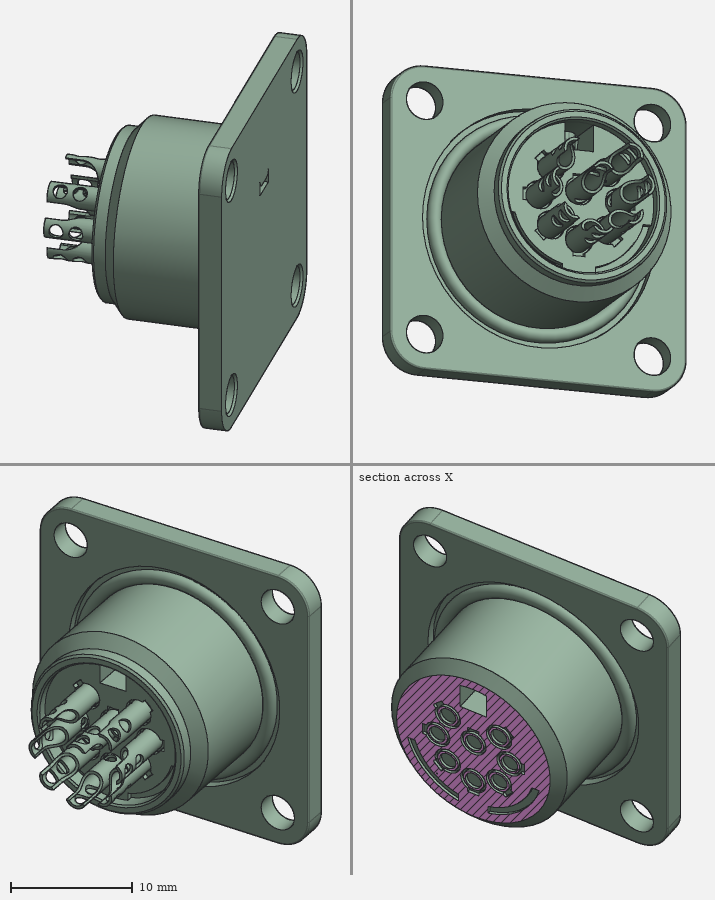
import cadquery as cq
import math


flange_side = 26.0
flange_thickness = 2.0
flange_corner_radius = 3.0
flange_edge_radius = 0.12
mount_hole_diameter = 3.2
mount_hole_spacing = 20.0
mount_hole_chamfer = 0.2

overall_length = 17.65
cup_length = 4.9
shell_end_x = cup_length - overall_length
shell_diameter = 17.0
collar_diameter = 14.8
collar_length = 1.2
collar_edge_chamfer = 0.2
shell_bevel_length = 1.0
shell_shoulder_x = shell_end_x + collar_length

groove_diameter = 20.4
groove_depth = 0.85
ring_section_radius = 0.6
ring_proud_height = 0.3
ring_squeeze = 0.02
ring_center_radius = shell_diameter / 2 + ring_section_radius - ring_squeeze
ring_center_x = -flange_thickness - ring_proud_height + ring_section_radius

recess_diameter = 13.1
recess_mouth_diameter = 13.42
recess_depth = 1.0
insert_face_x = shell_end_x + recess_depth

step_inner_radius = 5.9
step_depth = 0.5
step_top_z = -1.68
step_gap_width = 2.9

keyway_width = 2.5
keyway_bottom_z = 4.15
key_width = keyway_width
key_nose_width = 1.95
key_nose_corner_radius = 0.76
key_end_radius = 1.02
key_bottom_z = 4.86
key_corner_radius = 0.5
key_top_z = 7.0
key_nose_x = insert_face_x + 3.0

contact_diameter = 2.0
cup_bore_diameter = 1.5
cup_bore_depth = 6.5
cup_cut_offset = 0.43
cup_flat_length = 1.4
cup_scoop_radius = 1.6
solder_hole_diameter = 1.2
solder_hole_distances = (1.05, 2.75)
vent_hole_diameter = 1.0
vent_hole_distance = 5.5
seat_diameter = 2.4
seat_depth = 0.5
seat_tab_width = 1.05
seat_tab_reach = 1.42
contact_circle_radius = 3.5
outer_contact_angles = (0, 45, 135, 180, 225, 270, 315)
center_contact_height = 0.68


def x_cylinder(diameter, x_start, x_end):
    return cq.Workplane("YZ", origin=(x_start, 0, 0)).circle(diameter / 2).extrude(x_end - x_start)


def make_flange():
    flange = (
        cq.Workplane("YZ", origin=(-flange_thickness, 0, 0))
        .rect(flange_side, flange_side)
        .extrude(flange_thickness)
        .edges("|X")
        .fillet(flange_corner_radius)
        .faces("<X")
        .fillet(flange_edge_radius)
    )
    mount_holes = (
        cq.Workplane("YZ", origin=(-flange_thickness, 0, 0))
        .rect(mount_hole_spacing, mount_hole_spacing, forConstruction=True)
        .vertices()
        .circle(mount_hole_diameter / 2)
        .extrude(flange_thickness)
    )
    countersinks = (
        cq.Workplane("YZ")
        .rect(mount_hole_spacing, mount_hole_spacing, forConstruction=True)
        .vertices()
        .circle(mount_hole_diameter / 2 + mount_hole_chamfer)
        .extrude(-mount_hole_chamfer, taper=45)
    )
    groove = x_cylinder(groove_diameter, -flange_thickness, -flange_thickness + groove_depth)
    return flange.cut(mount_holes).cut(countersinks).cut(groove)


def make_shell():
    collar_radius = collar_diameter / 2
    shell_radius = shell_diameter / 2
    return (
        cq.Workplane("XY")
        .moveTo(0, 0)
        .lineTo(shell_end_x, 0)
        .lineTo(shell_end_x, collar_radius - collar_edge_chamfer)
        .lineTo(shell_end_x + collar_edge_chamfer, collar_radius)
        .lineTo(shell_shoulder_x, collar_radius)
        .lineTo(shell_shoulder_x + shell_bevel_length, shell_radius)
        .lineTo(0, shell_radius)
        .close()
        .revolve(360, (0, 0, 0), (1, 0, 0))
    )


def make_sealing_ring():
    return (
        cq.Workplane("XY")
        .center(ring_center_x, ring_center_radius)
        .circle(ring_section_radius)
        .revolve(360, (0, -ring_center_radius, 0), (1, -ring_center_radius, 0))
    )


def make_insert_recess():
    mouth_radius = recess_mouth_diameter / 2
    recess_radius = recess_diameter / 2
    return (
        cq.Workplane("XY")
        .moveTo(shell_end_x, 0)
        .lineTo(shell_end_x, mouth_radius)
        .lineTo(shell_end_x + mouth_radius - recess_radius, recess_radius)
        .lineTo(insert_face_x, recess_radius)
        .lineTo(insert_face_x, 0)
        .close()
        .revolve(360, (0, 0, 0), (1, 0, 0))
    )


def make_insert_step():
    step_end_x = insert_face_x + step_depth
    ring = x_cylinder(recess_diameter, insert_face_x, step_end_x).cut(
        x_cylinder(2 * step_inner_radius, insert_face_x, step_end_x)
    )
    above_step = (
        cq.Workplane("XY", origin=(insert_face_x, 0, step_top_z))
        .rect(2 * step_depth, recess_diameter)
        .extrude(recess_diameter)
    )
    gap = (
        cq.Workplane("XY", origin=(insert_face_x, 0, step_top_z))
        .rect(2 * step_depth, step_gap_width)
        .extrude(-recess_diameter)
    )
    return ring.cut(above_step).cut(gap)


def make_keyway():
    slot = (
        cq.Workplane("XY", origin=(0, 0, keyway_bottom_z))
        .rect(2 * abs(insert_face_x), keyway_width)
        .extrude(recess_diameter)
    )
    return slot.intersect(x_cylinder(recess_diameter, insert_face_x, 0))


def make_key_profile(start_x):
    """Side profile of the key from start_x to the flange front, with its lower end edge rounded."""
    bend = 1 - math.sqrt(0.5)
    return (
        cq.Workplane("XZ", origin=(0, key_width / 2, 0))
        .moveTo(start_x, key_top_z)
        .lineTo(start_x, key_bottom_z + key_end_radius)
        .threePointArc(
            (start_x + bend * key_end_radius, key_bottom_z + bend * key_end_radius),
            (start_x + key_end_radius, key_bottom_z),
        )
        .lineTo(0, key_bottom_z)
        .lineTo(0, key_top_z)
        .close()
        .extrude(key_width)
    )


def make_key_block(start_x, width):
    """Plain block from start_x to the flange front."""
    return (
        cq.Workplane("XY", origin=(start_x / 2, 0, key_bottom_z))
        .rect(-start_x, width)
        .extrude(key_top_z - key_bottom_z)
    )


def make_key():
    shoulder_x = key_nose_x + key_nose_corner_radius
    nose = make_key_block(key_nose_x, key_nose_width).edges("|Z and <X").fillet(key_nose_corner_radius)
    nose = nose.intersect(make_key_profile(key_nose_x))
    bar = make_key_block(shoulder_x, key_width).intersect(make_key_profile(shoulder_x))
    envelope = make_key_block(key_nose_x, key_width).edges("|X and <Z").fillet(key_corner_radius)
    return nose.union(bar).intersect(envelope)


def make_contact_seat():
    """Round pocket with an outward tab, around a contact on the X axis with +Y outward."""
    tab = (
        cq.Workplane("YZ", origin=(insert_face_x, seat_tab_reach / 2, 0))
        .rect(seat_tab_reach, seat_tab_width)
        .extrude(seat_depth)
    )
    return x_cylinder(seat_diameter, insert_face_x, insert_face_x + seat_depth).union(tab)


def make_wall_hole(diameter, distance, end_y):
    """Cross hole at a distance from the cup tip, from the contact axis out to end_y."""
    return (
        cq.Workplane("XZ", origin=(distance - overall_length, 0, 0))
        .circle(diameter / 2)
        .extrude(-end_y)
    )


def make_contact():
    """Solder cup on the X axis; +Y is the outward side, where the cup wall remains."""
    tip_x = -overall_length
    contact_radius = contact_diameter / 2
    scoop_start_x = tip_x + cup_flat_length
    scoop_drop = cup_cut_offset + contact_radius
    scoop_center_y = cup_cut_offset - cup_scoop_radius
    scoop_end_x = scoop_start_x + math.sqrt(cup_scoop_radius**2 - (cup_scoop_radius - scoop_drop) ** 2)
    arc_middle_x = scoop_start_x + cup_scoop_radius * math.sin(math.pi / 6)
    arc_middle_y = scoop_center_y + cup_scoop_radius * math.cos(math.pi / 6)
    scoop = (
        cq.Workplane("XY", origin=(0, 0, -contact_radius))
        .moveTo(tip_x, cup_cut_offset)
        .lineTo(scoop_start_x, cup_cut_offset)
        .threePointArc((arc_middle_x, arc_middle_y), (scoop_end_x, -contact_radius))
        .lineTo(tip_x, -contact_radius)
        .close()
        .extrude(contact_diameter)
    )
    bore = x_cylinder(cup_bore_diameter, tip_x, tip_x + cup_bore_depth)
    contact = x_cylinder(contact_diameter, tip_x, insert_face_x + seat_depth).cut(bore).cut(scoop)
    for distance in solder_hole_distances:
        contact = contact.cut(make_wall_hole(solder_hole_diameter, distance, contact_radius))
    return contact.cut(make_wall_hole(vent_hole_diameter, vent_hole_distance, -contact_radius))


def place_at_contacts(feature):
    """Copies of a feature at every contact, each turned so that its +Y side faces outward."""
    outward_feature = feature.translate((0, contact_circle_radius, 0))
    copies = [outward_feature.rotate((0, 0, 0), (1, 0, 0), angle) for angle in outer_contact_angles]
    center_copy = feature.rotate((0, 0, 0), (1, 0, 0), 90).translate((0, 0, center_contact_height))
    return copies + [center_copy]


result = make_flange().union(make_shell()).union(make_sealing_ring())
result = result.cut(make_insert_recess()).cut(make_insert_step()).cut(make_keyway()).union(make_key())
for seat in place_at_contacts(make_contact_seat()):
    result = result.cut(seat)
for contact in place_at_contacts(make_contact()):
    result = result.union(contact)